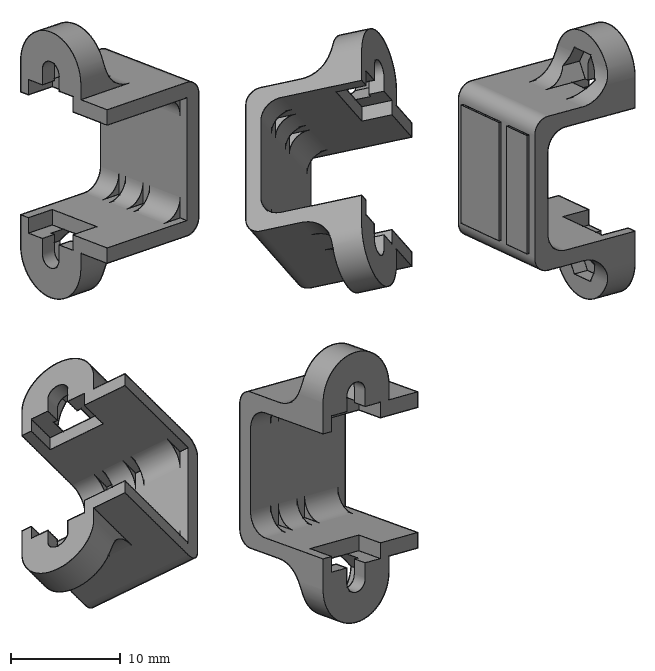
import cadquery as cq

clip_width = 11.5
clip_depth = 11.52
channel_height = 12.0
wall = 1.5
outer_radius = wall
inner_radius = 2.0
outer_half_height = channel_height / 2 + wall

overall_height = 26.0
lug_width = 8.0
lug_thickness = 3.02
lug_radius = lug_width / 2
lug_center_x = lug_radius
lug_center_z = overall_height / 2 - lug_radius
lug_fillet = 3.0
slot_width = 2.2
nut_across_corners = 4.75
nut_sides = 6
nut_seat_y = 1.5

notch_width = 5.9
notch_depth = 3.0

gap_width = 0.9
gap_starts = (2.45, 5.65, clip_width - gap_width)

label_relief = 0.23
label_height = 11.55
label_spans = ((0.85, 3.93), (5.07, 10.75))


def box(x_range, y_range, z_range):
    """Box spanning the given (low, high) ranges."""
    low, high = zip(x_range, y_range, z_range)
    size = [b - a for a, b in zip(low, high)]
    return cq.Workplane("XY").box(*size, centered=False).translate(low)


def round_ended_bar(width, length):
    """Bar on the upper wall, rounded about the lug axis and running back from the front face."""
    left = lug_center_x - width / 2
    straight_part = box((left, left + width), (0, length), (outer_half_height, lug_center_z))
    round_end = (
        cq.Workplane("XZ", origin=(lug_center_x, 0, lug_center_z))
        .circle(width / 2)
        .extrude(-length)
    )
    return straight_part.union(round_end)


def make_channel():
    """U-shaped channel with rounded outer corners and interrupted inner fillets."""
    outside = box((0, clip_width), (0, clip_depth), (-outer_half_height, outer_half_height))
    outside = outside.edges("|X and >Y").fillet(outer_radius)
    half_channel = channel_height / 2
    back_y = clip_depth - wall
    opening = box((0, clip_width), (0, back_y), (-half_channel, half_channel))
    rounded_opening = opening.edges("|X and >Y").fillet(inner_radius)
    channel = outside.cut(rounded_opening)
    for start in gap_starts:
        gap = box((start, start + gap_width), (0, back_y), (-half_channel, half_channel))
        channel = channel.cut(gap)
    return channel


def make_lug():
    """Upper lug: rounded plate blended into the wall, with a screw slot and a hexagonal nut seat."""
    wall_top = outer_half_height
    blend_end_y = lug_thickness + lug_fillet
    blend_top = wall_top + lug_fillet
    side_profile = (
        cq.Workplane("YZ")
        .moveTo(0, wall_top)
        .lineTo(blend_end_y, wall_top)
        .radiusArc((lug_thickness, blend_top), lug_fillet)
        .lineTo(lug_thickness, overall_height / 2)
        .lineTo(0, overall_height / 2)
        .close()
        .extrude(lug_width)
    )
    front_outline = round_ended_bar(lug_width, blend_end_y)
    slot = round_ended_bar(slot_width, blend_end_y)
    nut_seat = (
        cq.Workplane("XZ", origin=(lug_center_x, nut_seat_y, lug_center_z))
        .polygon(nut_sides, nut_across_corners)
        .extrude(nut_seat_y - blend_end_y)
    )
    return side_profile.intersect(front_outline).cut(slot).cut(nut_seat)


upper_lug = make_lug()
lower_lug = upper_lug.mirror("XY")
result = make_channel().union(upper_lug).union(lower_lug)

notch_left = lug_center_x - notch_width / 2
result = result.cut(
    box(
        (notch_left, notch_left + notch_width),
        (0, notch_depth),
        (-outer_half_height, outer_half_height),
    )
)

for span in label_spans:
    strip = box(span, (clip_depth, clip_depth + label_relief), (-label_height / 2, label_height / 2))
    result = result.union(strip)